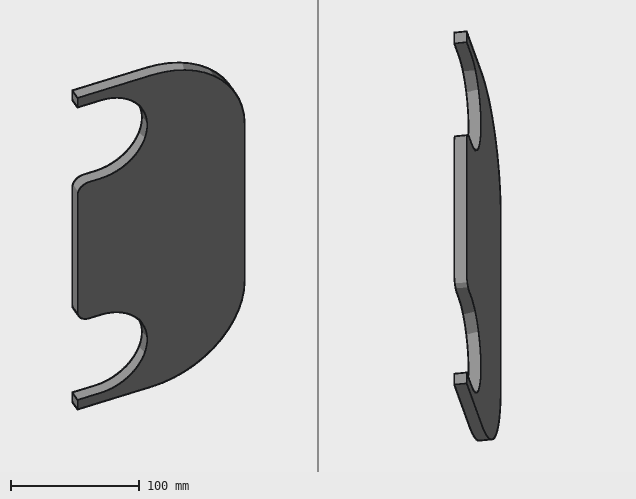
import cadquery as cq

height = 320.0
width = 143.7
thickness = 10.0
outer_radius = 80.0
notch_radius = 40.0
notch_center_depth = 20.0
arm_width = 10.0
tab_radius = 10.0

open_edge = -width / 2
notch_center_y = open_edge + notch_center_depth
notch_center_z = height / 2 - arm_width - notch_radius


def make_plate():
    """Flat plate with its two +Y corners rounded."""
    plate = cq.Workplane("XY").box(thickness, width, height)
    return plate.edges("|X and >Y").fillet(outer_radius)


def make_notch(side):
    """U-shaped notch open toward -Y; side is +1 for the top, -1 for the bottom."""
    center_z = side * notch_center_z
    arm_z = center_z + side * notch_radius
    tab_z = center_z - side * notch_radius
    return (
        cq.Workplane("YZ")
        .moveTo(open_edge, arm_z)
        .lineTo(notch_center_y, arm_z)
        .threePointArc((notch_center_y + notch_radius, center_z), (notch_center_y, tab_z))
        .lineTo(open_edge, tab_z)
        .close()
        .extrude(thickness / 2, both=True)
    )


def tab_corner(side):
    """Point on the sharp tab corner beside one notch."""
    return (0, open_edge, side * (notch_center_z - notch_radius))


result = make_plate()
for side in (1, -1):
    result = result.cut(make_notch(side))
    corner = cq.selectors.NearestToPointSelector(tab_corner(side))
    result = result.edges("|X").edges(corner).fillet(tab_radius)